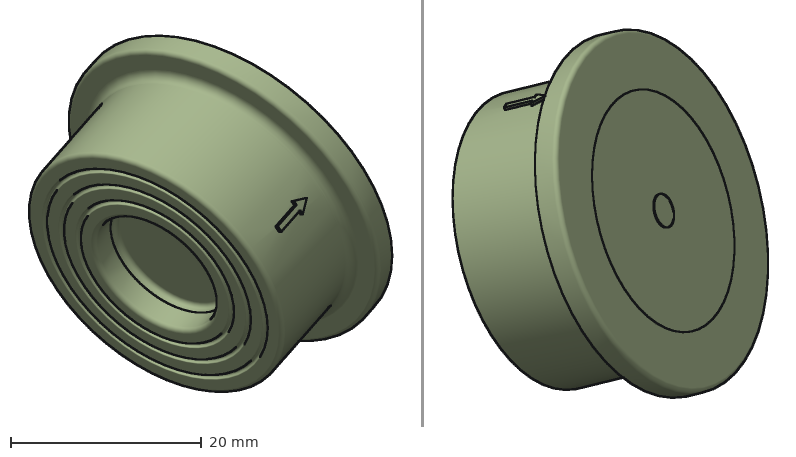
import cadquery as cq
flange_diameter = 39.0
flange_thickness = 3.0
drum_diameter = 32.0
total_depth = 16.0
edge_radius = 0.5
root_radius = 1.0

bore_diameter = 15.0
recess_depth = 4.0
front_wall = 3.0

insert_diameter = 26.0

groove_count = 3
first_groove_radius = 9.6
groove_pitch = 2.1
groove_width = 0.5
groove_rim_radius = 0.097

pad_diameter = 3.62
pad_height = 0.1

arrow_angle = 39.5
arrow_tip_inset = 6.15
arrow_head_length = 1.65
arrow_head_width = 1.8
arrow_shaft_length = 3.62
arrow_shaft_width = 0.75
arrow_rise = 0.3

flange_radius = flange_diameter / 2
drum_radius = drum_diameter / 2
bore_radius = bore_diameter / 2
front_y = -total_depth
seam_y = front_y + front_wall
floor_y = front_y + recess_depth


def disc(diameter, start_y, end_y):
    """Cylinder on the Y axis between two Y positions."""
    return cq.Workplane("XZ", origin=(0, end_y, 0)).circle(diameter / 2).extrude(end_y - start_y)


def turned(profile):
    """Full turn about the Y axis of a closed profile drawn in the XY plane."""
    return profile.close().revolve(360, (0, 0, 0), (0, 1, 0))


def housing_blank():
    """Flange and drum with rounded edges and a fillet where they meet."""
    flange = disc(flange_diameter, -flange_thickness, 0).edges().fillet(edge_radius)
    drum = disc(drum_diameter, front_y, -flange_thickness).faces("<Y").edges().fillet(edge_radius)
    corner_x = drum_radius + root_radius
    corner_y = -flange_thickness - root_radius
    diagonal = root_radius * 0.5 ** 0.5
    root = turned(
        cq.Workplane("XY")
        .moveTo(bore_radius, -flange_thickness)
        .lineTo(corner_x, -flange_thickness)
        .threePointArc((corner_x - diagonal, corner_y + diagonal), (drum_radius, corner_y))
        .lineTo(bore_radius, corner_y)
    )
    return flange.union(drum).union(root)


def groove(mean_radius):
    """Ring groove with a half-round floor and rounded rims, cut from the front face."""
    half_width = groove_width / 2
    rim_y = front_y + groove_rim_radius
    rim_half_width = half_width + groove_rim_radius
    rim_bulge = groove_rim_radius * (1 - 0.5 ** 0.5)
    inner_rim_middle = (mean_radius - half_width - rim_bulge, front_y + rim_bulge)
    outer_rim_middle = (mean_radius + half_width + rim_bulge, front_y + rim_bulge)
    return turned(
        cq.Workplane("XY")
        .moveTo(mean_radius - rim_half_width, front_y)
        .threePointArc(inner_rim_middle, (mean_radius - half_width, rim_y))
        .threePointArc((mean_radius, rim_y + half_width), (mean_radius + half_width, rim_y))
        .threePointArc(outer_rim_middle, (mean_radius + rim_half_width, front_y))
    )


def arrow():
    """Arrow that stands off the drum surface by an even height."""
    tip_y = -arrow_tip_inset
    head_y = tip_y - arrow_head_length
    tail_y = head_y - arrow_shaft_length
    half_head = arrow_head_width / 2
    half_shaft = arrow_shaft_width / 2
    outline = (
        cq.Workplane("XY")
        .polyline([
            (0, tip_y),
            (half_head, head_y),
            (half_shaft, head_y),
            (half_shaft, tail_y),
            (-half_shaft, tail_y),
            (-half_shaft, head_y),
            (-half_head, head_y),
        ])
        .close()
        .extrude(flange_radius)
        .rotate((0, 0, 0), (0, 1, 0), 90 - arrow_angle)
    )
    shell_diameter = drum_diameter + 2 * arrow_rise
    shell = disc(shell_diameter, front_y, 0).cut(disc(drum_diameter, front_y, 0))
    return outline.intersect(shell)


def make_housing():
    """Flanged drum with the front bore, the insert's seat, the grooves and the arrow."""
    housing = housing_blank()
    housing = housing.cut(disc(bore_diameter, front_y, seam_y))
    housing = housing.faces("<Y").edges(cq.selectors.RadiusNthSelector(0)).fillet(edge_radius)
    housing = housing.cut(disc(insert_diameter, seam_y, 0))
    for index in range(groove_count):
        housing = housing.cut(groove(first_groove_radius + index * groove_pitch))
    return housing.union(arrow())


def make_insert():
    """Disc that closes the bore: round-cornered recess in front, low pad behind."""
    recess = disc(bore_diameter, seam_y, floor_y).faces(">Y").edges().fillet(edge_radius)
    pad = disc(pad_diameter, 0, pad_height)
    return disc(insert_diameter, seam_y, 0).cut(recess).union(pad)


housing = make_housing()
insert = make_insert()

result = cq.Compound.makeCompound([housing.val(), insert.val()])